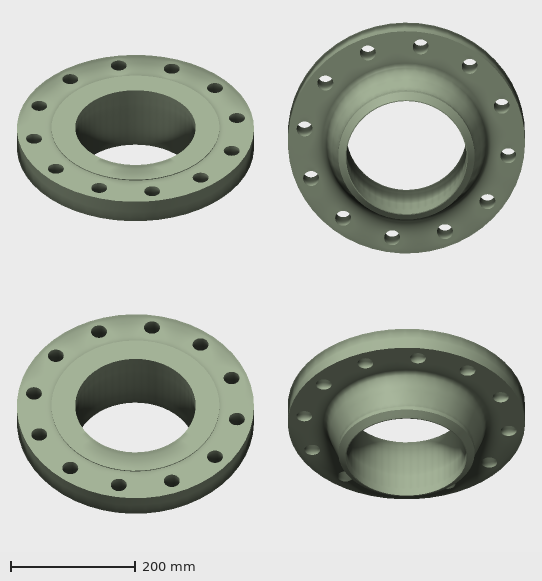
import cadquery as cq

flange_diameter = 381.0
total_height = 111.3

face_diameter = 270.0
face_height = 1.5
plate_thickness = 39.5

bolt_circle_diameter = 330.5
bolt_hole_diameter = 25.5
bolt_count = 12

bore_diameter = 193.5
hub_diameter = 260.2
hub_fillet = 7.5
neck_diameter = 219.0
neck_start = 16.0
root_face = 1.5
bevel_height = 8.5

flange_radius = flange_diameter / 2
face_radius = face_diameter / 2
bore_radius = bore_diameter / 2
hub_radius = hub_diameter / 2
neck_radius = neck_diameter / 2
plate_top = total_height - face_height
plate_bottom = plate_top - plate_thickness


def flange_body():
    """Revolve the half section about Z, with the weld end at Z = 0."""
    section = (
        cq.Workplane("XZ")
        .moveTo(bore_radius, 0)
        .lineTo(bore_radius + root_face, 0)
        .lineTo(neck_radius, bevel_height)
        .lineTo(neck_radius, neck_start)
        .lineTo(hub_radius, plate_bottom)
        .lineTo(flange_radius, plate_bottom)
        .lineTo(flange_radius, plate_top)
        .lineTo(face_radius, plate_top)
        .lineTo(face_radius, total_height)
        .lineTo(bore_radius, total_height)
        .close()
    )
    body = section.revolve(360, (0, 0, 0), (0, 1, 0))
    near_plate = cq.selectors.BoxSelector(
        (-flange_radius, -flange_radius, plate_bottom - hub_fillet),
        (flange_radius, flange_radius, plate_bottom + hub_fillet),
    )
    hub_corner = body.edges("%CIRCLE").edges(near_plate).edges(cq.selectors.RadiusNthSelector(0))
    return hub_corner.fillet(hub_fillet)


def bolt_holes():
    return (
        cq.Workplane("XY")
        .polarArray(bolt_circle_diameter / 2, 0, 360, bolt_count)
        .circle(bolt_hole_diameter / 2)
        .extrude(total_height)
    )


result = flange_body().cut(bolt_holes())